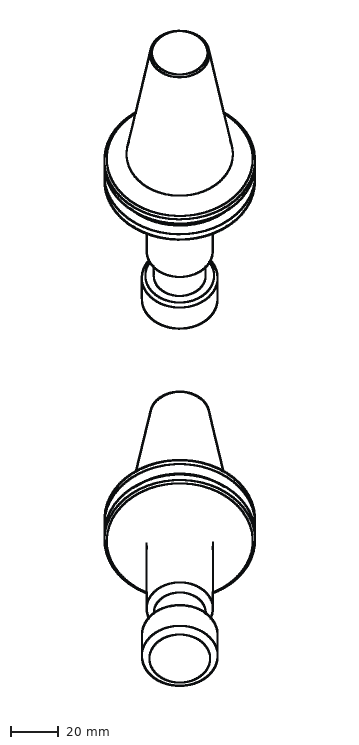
import cadquery as cq

total_height = 168.4
nut_height = 17.7
neck_top = 31.3
shank_shoulder = 34.4
flange_bottom = 80.8
flange_height = 15.8
collar_height = 3.2
flange_top = flange_bottom + flange_height
taper_base = flange_top + collar_height

nut_radius = 16.0
nut_nose_radius = 12.8
nut_nose_height = 1.9
nut_top_chamfer = 1.5
neck_radius = 11.0
shank_radius = 14.0
shank_fillet = 1.9

flange_radius = 31.75
flange_chamfer = 1.0
groove_radius = 28.1
groove_floor_bottom = 86.9
groove_floor_top = 91.0
groove_mouth_bottom = 85.5
groove_mouth_top = 92.8

taper_base_radius = 22.4
collar_radius = 21.7
collar_fillet = 0.7
taper_slope = 7 / 24 / 2
taper_tip_radius = taper_base_radius - taper_slope * (total_height - taper_base)
tip_chamfer = 0.8


def revolve_profile(profile):
    """Close a half profile in the XZ plane and turn it about the Z axis."""
    return profile.close().revolve(360, (0, 0, 0), (0, 1, 0))


def make_nut():
    profile = (
        cq.Workplane("XZ")
        .lineTo(nut_nose_radius, 0)
        .lineTo(nut_radius, nut_nose_height)
        .lineTo(nut_radius, nut_height - nut_top_chamfer)
        .lineTo(nut_radius - nut_top_chamfer, nut_height)
        .lineTo(0, nut_height)
    )
    return revolve_profile(profile)


def make_shank():
    """Neck, conical shoulder and shank, flared by a fillet under the flange."""
    profile = (
        cq.Workplane("XZ")
        .moveTo(0, nut_height)
        .lineTo(neck_radius, nut_height)
        .lineTo(neck_radius, neck_top)
        .lineTo(shank_radius, shank_shoulder)
        .lineTo(shank_radius, flange_bottom - shank_fillet)
        .radiusArc((shank_radius + shank_fillet, flange_bottom), shank_fillet)
        .lineTo(0, flange_bottom)
    )
    return revolve_profile(profile)


def make_flange():
    rim_edge_radius = flange_radius - flange_chamfer
    profile = (
        cq.Workplane("XZ")
        .moveTo(0, flange_bottom)
        .lineTo(rim_edge_radius, flange_bottom)
        .lineTo(flange_radius, flange_bottom + flange_chamfer)
        .lineTo(flange_radius, groove_mouth_bottom)
        .lineTo(groove_radius, groove_floor_bottom)
        .lineTo(groove_radius, groove_floor_top)
        .lineTo(flange_radius, groove_mouth_top)
        .lineTo(flange_radius, flange_top - flange_chamfer)
        .lineTo(rim_edge_radius, flange_top)
        .lineTo(0, flange_top)
    )
    return revolve_profile(profile)


def make_taper():
    """Short collar filleted at its foot, and steep taper with a chamfered tip."""
    chamfer_base_radius = taper_tip_radius + taper_slope * tip_chamfer
    profile = (
        cq.Workplane("XZ")
        .moveTo(0, flange_top)
        .lineTo(collar_radius + collar_fillet, flange_top)
        .radiusArc((collar_radius, flange_top + collar_fillet), collar_fillet)
        .lineTo(collar_radius, taper_base)
        .lineTo(taper_base_radius, taper_base)
        .lineTo(chamfer_base_radius, total_height - tip_chamfer)
        .lineTo(chamfer_base_radius - tip_chamfer, total_height)
        .lineTo(0, total_height)
    )
    return revolve_profile(profile)


result = make_nut().union(make_shank()).union(make_flange()).union(make_taper())